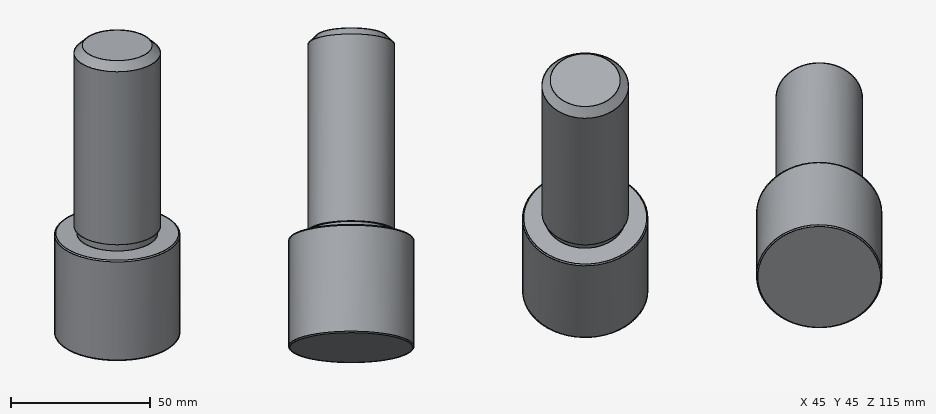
import cadquery as cq

total_length = 115.0
head_diameter = 45.0
head_height = 40.0
head_edge_chamfer = 0.5

neck_diameter = 29.0
neck_length = 3.0

shank_diameter = 31.0
shank_length = total_length - head_height - neck_length
tip_chamfer = 3.0

head = (
    cq.Workplane("XY")
    .circle(head_diameter / 2)
    .extrude(head_height)
    .edges()
    .chamfer(head_edge_chamfer)
)

neck = (
    cq.Workplane("XY", origin=(0, 0, head_height))
    .circle(neck_diameter / 2)
    .extrude(neck_length)
)

shank = (
    cq.Workplane("XY", origin=(0, 0, head_height + neck_length))
    .circle(shank_diameter / 2)
    .extrude(shank_length)
    .faces(">Z")
    .chamfer(tip_chamfer)
)

result = head.union(neck).union(shank)